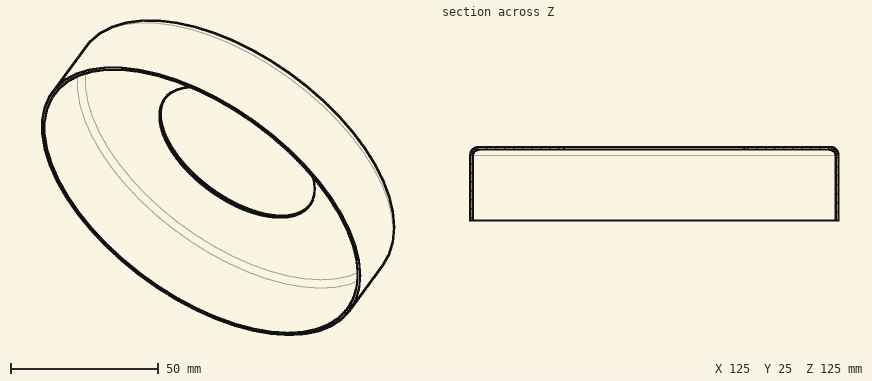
import cadquery as cq

outer_diameter = 125.0
height = 25.0
wall = 1.0
hole_diameter = 61.0
outer_edge_radius = 3.0
inner_edge_radius = outer_edge_radius - wall


def disc(diameter, length):
    """Cylinder on the Y axis, from the open rim at Y = 0 toward +Y."""
    return cq.Workplane("XZ").circle(diameter / 2).extrude(-length)


def make_shell():
    """Dish of constant wall thickness, rounded where rim meets plate."""
    body = disc(outer_diameter, height).faces(">Y").edges().fillet(outer_edge_radius)
    cavity = disc(outer_diameter - 2 * wall, height - wall).faces(">Y").edges().fillet(inner_edge_radius)
    return body.cut(cavity)


def make_hole():
    """Central opening through the plate."""
    return disc(hole_diameter, height)


result = make_shell().cut(make_hole())